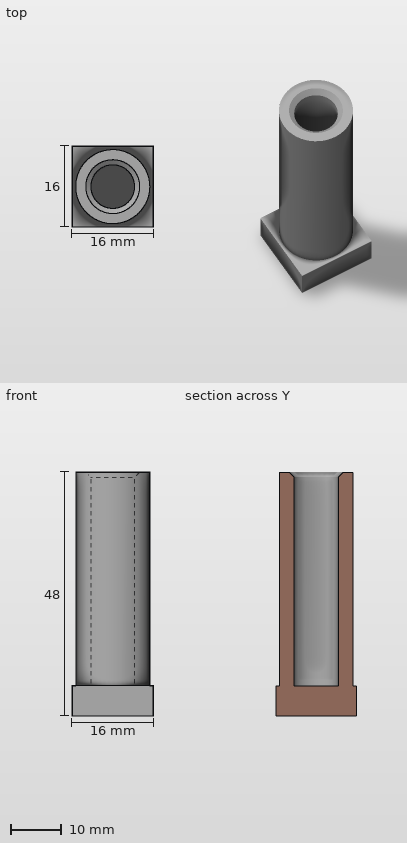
import cadquery as cq

total_height = 48.0
base_side = 16.0
base_height = 6.0

tube_diameter = 14.6
bore_diameter = 8.6
bore_depth = total_height - base_height
bore_chamfer = 1.0

base = cq.Workplane("XY").box(base_side, base_side, base_height, centered=(True, True, False))

tube = (
    cq.Workplane("XY")
    .workplane(offset=base_height)
    .circle(tube_diameter / 2)
    .extrude(total_height - base_height)
)

mouth_diameter = bore_diameter + 2 * bore_chamfer
result = (
    base.union(tube)
    .faces(">Z")
    .workplane()
    .cskHole(bore_diameter, mouth_diameter, 90, depth=bore_depth)
)